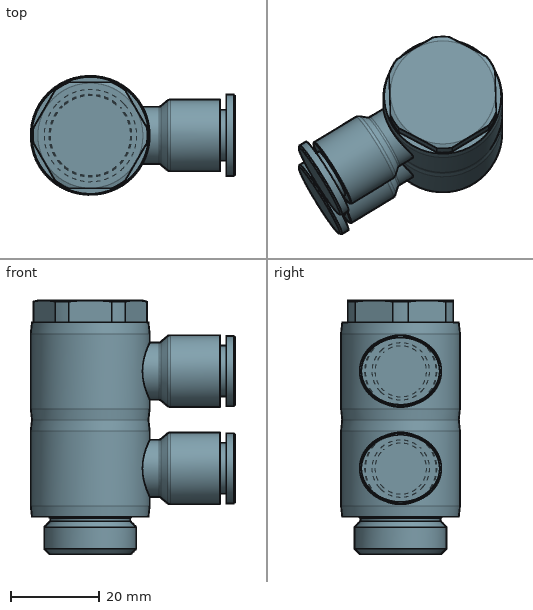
import cadquery as cq
import math

TOTAL_HEIGHT = 57.5
HEX_HEIGHT = 5.0
RING_HEIGHT = 22.0
BODY_TOP = TOTAL_HEIGHT - HEX_HEIGHT
BODY_BOTTOM = BODY_TOP - 2 * RING_HEIGHT

BODY_RADIUS = 13.5
TAPER_HEIGHT = 2.55
TAPER_INSET = 0.3

HEX_SIDES = 6
HEX_ACROSS_FLATS = 24.0
HEX_ACROSS_CORNERS = HEX_ACROSS_FLATS / math.cos(math.pi / HEX_SIDES)
HEX_CORNER_RADIUS = 12.95
HEX_TOP_RADIUS = 11.9
HEX_CHAMFER_HEIGHT = 0.3

THREAD_RADIUS = 10.45
THREAD_CHAMFER = 1.25
THREAD_TOP = 6.15
NECK_RADIUS = 9.1
RELIEF_CONE_TOP = THREAD_TOP + THREAD_RADIUS - NECK_RADIUS
NECK_FLARE = 0.3

STEM_RADIUS = 6.5
STEM_END = 15.8
SOCKET_RADIUS = 8.15
SOCKET_START = 17.75
SOCKET_END = 29.5
STEM_FILLET = 0.75
SOCKET_FILLET = 1.15
SOCKET_END_CHAMFER = 0.2
COLLAR_NECK_RADIUS = 5.8
COLLAR_START = 30.75
COLLAR_END = 32.9
COLLAR_HALF_WIDTH = 9.25
COLLAR_HALF_HEIGHT = 8.0
COLLAR_CHAMFER = 0.4


def revolve_about_z(points):
    """Turn a closed (radius, z) outline into a solid about the Z axis."""
    return cq.Workplane("XZ").polyline(points).close().revolve(360, (0, 0), (0, 1))


def make_ring(bottom):
    end_radius = BODY_RADIUS - TAPER_INSET
    top = bottom + RING_HEIGHT
    return revolve_about_z([
        (0, bottom),
        (end_radius, bottom),
        (BODY_RADIUS, bottom + TAPER_HEIGHT),
        (BODY_RADIUS, top - TAPER_HEIGHT),
        (end_radius, top),
        (0, top),
    ])


def make_threaded_end():
    return revolve_about_z([
        (0, 0),
        (THREAD_RADIUS - THREAD_CHAMFER, 0),
        (THREAD_RADIUS, THREAD_CHAMFER),
        (THREAD_RADIUS, THREAD_TOP),
        (NECK_RADIUS, RELIEF_CONE_TOP),
        (NECK_RADIUS, BODY_BOTTOM - NECK_FLARE),
        (NECK_RADIUS + NECK_FLARE, BODY_BOTTOM),
        (0, BODY_BOTTOM),
    ])


def make_hex_head():
    """Hexagon with flats facing +Y and -Y, its corners turned down to a circle."""
    turned_blank = revolve_about_z([
        (0, BODY_TOP),
        (HEX_CORNER_RADIUS, BODY_TOP),
        (HEX_CORNER_RADIUS, TOTAL_HEIGHT - HEX_CHAMFER_HEIGHT),
        (HEX_TOP_RADIUS, TOTAL_HEIGHT),
        (0, TOTAL_HEIGHT),
    ])
    hexagon = (
        cq.Workplane("XY", origin=(0, 0, BODY_TOP))
        .polygon(HEX_SIDES, HEX_ACROSS_CORNERS)
        .extrude(HEX_HEIGHT)
    )
    return turned_blank.intersect(hexagon)


def make_port(axis_height):
    """Stem, conical shoulder, socket and oval release collar, running out along +X."""
    turned = (
        cq.Workplane("XZ")
        .polyline([
            (0, 0),
            (0, STEM_RADIUS),
            (STEM_END, STEM_RADIUS),
            (SOCKET_START, SOCKET_RADIUS),
            (SOCKET_END - SOCKET_END_CHAMFER, SOCKET_RADIUS),
            (SOCKET_END, SOCKET_RADIUS - SOCKET_END_CHAMFER),
            (SOCKET_END, COLLAR_NECK_RADIUS),
            (COLLAR_START, COLLAR_NECK_RADIUS),
            (COLLAR_START, 0),
        ])
        .close()
        .revolve(360, (0, 0), (1, 0))
    )
    stem_edge = cq.selectors.NearestToPointSelector((STEM_END, 0, 0))
    socket_edge = cq.selectors.NearestToPointSelector((SOCKET_START, 0, 0))
    turned = turned.edges("%CIRCLE").edges(stem_edge).fillet(STEM_FILLET)
    turned = turned.edges("%CIRCLE").edges(socket_edge).fillet(SOCKET_FILLET)
    collar = (
        cq.Workplane("YZ", origin=(COLLAR_START, 0, 0))
        .ellipse(COLLAR_HALF_WIDTH, COLLAR_HALF_HEIGHT)
        .extrude(COLLAR_END - COLLAR_START)
        .faces(">X")
        .chamfer(COLLAR_CHAMFER)
    )
    return turned.union(collar).translate((0, 0, axis_height))


result = make_threaded_end().union(make_hex_head())
for ring_bottom in (BODY_BOTTOM, BODY_BOTTOM + RING_HEIGHT):
    ring = make_ring(ring_bottom)
    port = make_port(ring_bottom + RING_HEIGHT / 2)
    result = result.union(ring).union(port)